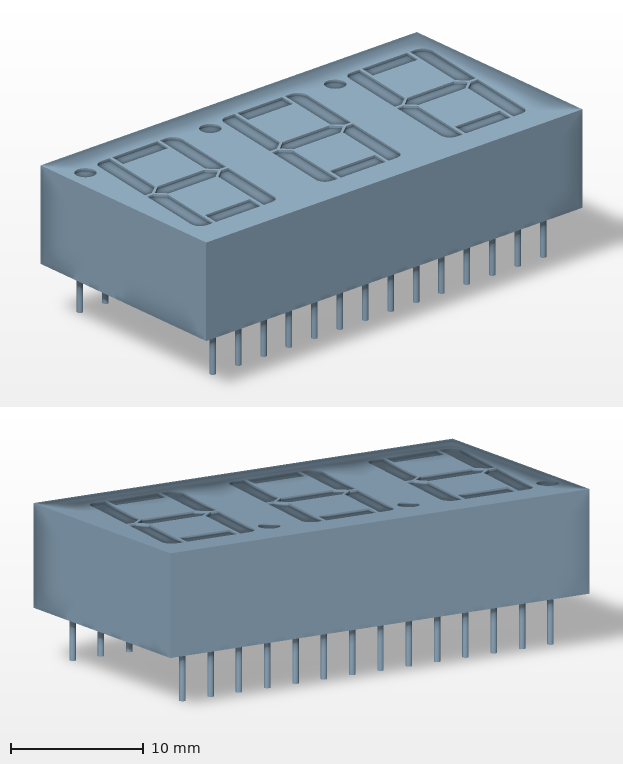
import cadquery as cq
import math


BODY_WIDTH = 19.0
BODY_LENGTH = 37.6
BODY_HEIGHT = 8.12

TOTAL_HEIGHT = 12.1
PIN_LENGTH = TOTAL_HEIGHT - BODY_HEIGHT
PIN_DIAMETER = 0.5
PINS_PER_ROW = 14
PIN_ROW_LENGTH = 33.0
PIN_PITCH = PIN_ROW_LENGTH / (PINS_PER_ROW - 1)
PIN_ROW_SPACING = 15.23

DIGIT_COUNT = 3
DIGIT_PITCH = 12.5
TOP_DIGIT_Y = 12.5
DIGIT_WIDTH = 14.18
DIGIT_HEIGHT = 8.12
SLANT_ANGLE = 8
SLANT = math.tan(math.radians(SLANT_ANGLE))
RECESS_DEPTH = 0.25

BAR_THICKNESS = 1.55
SIDE_WIDTH = 1.5
CENTRE_WIDTH = 1.55
CORNER_RADIUS = 0.83
BAR_END_GAP = 0.25
SIDE_GAP = 0.25
CENTRE_TIP_Y = 3.15
CENTRE_SHOULDER_Y = 2.35
BEVEL_TOP_Y = 3.4
BEVEL_BOTTOM_X = 0.85

POINT_DIAMETER = 1.7
POINT_X = (POINT_DIAMETER - DIGIT_WIDTH) / 2
POINT_DROP = 4.65

HALF_WIDTH = DIGIT_WIDTH / 2
HALF_HEIGHT = DIGIT_HEIGHT / 2
BAR_INNER_Y = HALF_HEIGHT - BAR_THICKNESS


def slanted_prism(outline):
    """Slant an outline along Y and extrude it down from Z = 0 by the recess depth."""
    points = [(x, y - SLANT * x) for x, y in outline]
    return cq.Workplane("XY").polyline(points).close().extrude(-RECESS_DEPTH)


def bar_segment(x_side, y_side):
    """Long bar in one quarter of the digit, with a rounded outer corner and a bevelled inner end."""
    outline = [
        (HALF_WIDTH, HALF_HEIGHT),
        (BAR_END_GAP / 2, HALF_HEIGHT),
        (BAR_END_GAP / 2, BEVEL_TOP_Y),
        (BEVEL_BOTTOM_X, BAR_INNER_Y),
        (HALF_WIDTH, BAR_INNER_Y),
    ]
    bar = slanted_prism([(x_side * x, y_side * y) for x, y in outline])
    corner = (
        x_side * HALF_WIDTH,
        y_side * HALF_HEIGHT - SLANT * x_side * HALF_WIDTH,
        -RECESS_DEPTH / 2,
    )
    return bar.edges(cq.selectors.NearestToPointSelector(corner)).fillet(CORNER_RADIUS)


def side_segment(x_side):
    """Short bar along one side of the digit, between two long bars."""
    outer_x = x_side * HALF_WIDTH
    inner_x = x_side * (HALF_WIDTH - SIDE_WIDTH)
    end_y = BAR_INNER_Y - SIDE_GAP
    return slanted_prism([(outer_x, end_y), (inner_x, end_y), (inner_x, -end_y), (outer_x, -end_y)])


def centre_segment():
    """Pointed six-sided bar across the middle of the digit."""
    half = CENTRE_WIDTH / 2
    return slanted_prism([
        (0, CENTRE_TIP_Y),
        (half, CENTRE_SHOULDER_Y),
        (half, -CENTRE_SHOULDER_Y),
        (0, -CENTRE_TIP_Y),
        (-half, -CENTRE_SHOULDER_Y),
        (-half, CENTRE_SHOULDER_Y),
    ])


def decimal_point():
    """Round recess below the -X end of the digit."""
    disc = cq.Workplane("XY").center(POINT_X, -POINT_DROP).circle(POINT_DIAMETER / 2)
    return disc.extrude(-RECESS_DEPTH)


def digit_recesses():
    """All the recesses of one digit, with their open side at Z = 0."""
    recesses = [centre_segment(), decimal_point()]
    for x_side in (-1, 1):
        recesses.append(side_segment(x_side))
        for y_side in (-1, 1):
            recesses.append(bar_segment(x_side, y_side))
    return recesses


def pins():
    """Two rows of round pins under the body."""
    return (
        cq.Workplane("XY")
        .rarray(PIN_ROW_SPACING, PIN_PITCH, 2, PINS_PER_ROW)
        .circle(PIN_DIAMETER / 2)
        .extrude(-PIN_LENGTH)
    )


result = cq.Workplane("XY").box(BODY_WIDTH, BODY_LENGTH, BODY_HEIGHT, centered=(True, True, False))
result = result.union(pins())

recesses = digit_recesses()
for index in range(DIGIT_COUNT):
    digit_y = TOP_DIGIT_Y - index * DIGIT_PITCH
    for recess in recesses:
        result = result.cut(recess.translate((0, digit_y, BODY_HEIGHT)))